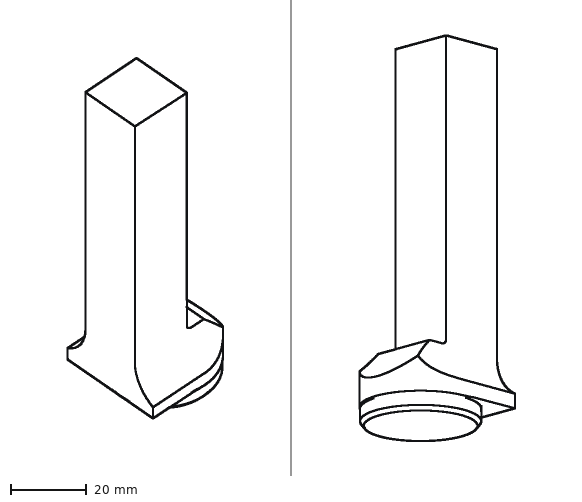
import cadquery as cq
import math

total_height = 104.97
head_width = 32.3
head_radius = head_width / 2
total_depth = 35.2
round_center_y = total_depth - head_radius

foot_diameter = 32.0
foot_height = 5.3
foot_chamfer_width = 1.0
foot_chamfer_height = 1.25
foot_fillet_radius = 0.6

head_top = 20.4
flare_bottom = 9.3
nose_chamfer = 10.0

shank_depth = 19.0
shank_front_width = 18.7
side_taper_angle = 0.5
shank_root_radius = 1.5

clearance = 5.0


def make_side_silhouette():
    """Shank and head seen along X, with the sloped nose and filleted shank root."""
    root_y = shank_depth + shank_root_radius
    root_z = head_top + shank_root_radius
    root_offset = shank_root_radius * (1 - math.sqrt(0.5))
    return (
        cq.Workplane("YZ")
        .moveTo(0, foot_height)
        .lineTo(total_depth, foot_height)
        .lineTo(total_depth, head_top - nose_chamfer)
        .lineTo(total_depth - nose_chamfer, head_top)
        .lineTo(root_y, head_top)
        .threePointArc((shank_depth + root_offset, head_top + root_offset), (shank_depth, root_z))
        .lineTo(shank_depth, total_height)
        .lineTo(0, total_height)
        .close()
        .extrude(head_radius, both=True)
    )


def make_plan_outline():
    """Full-height prism with a flat front and a semicircular back."""
    return (
        cq.Workplane("XY")
        .moveTo(-head_radius, 0)
        .lineTo(head_radius, 0)
        .lineTo(head_radius, round_center_y)
        .threePointArc((0, total_depth), (-head_radius, round_center_y))
        .close()
        .extrude(total_height)
    )


def make_flank_cutter():
    """Material beside the shank on +X, ending below in the concave flare of the head."""
    shank_half_width = shank_front_width / 2
    flare_width = head_radius - shank_half_width
    flare_drop = head_top - flare_bottom
    flare_radius = (flare_width**2 + flare_drop**2) / (2 * flare_width)
    sweep = math.asin(flare_drop / flare_radius)
    flare_middle = (
        shank_half_width + flare_radius * (1 - math.cos(sweep / 2)),
        head_top - flare_radius * math.sin(sweep / 2),
    )
    outer_x = head_radius + clearance
    outer_z = total_height + clearance
    cutter = (
        cq.Workplane("XZ", origin=(0, -clearance, 0))
        .moveTo(shank_half_width, outer_z)
        .lineTo(shank_half_width, head_top)
        .threePointArc(flare_middle, (head_radius, flare_bottom))
        .lineTo(outer_x, flare_bottom)
        .lineTo(outer_x, outer_z)
        .close()
        .extrude(-(total_depth + 2 * clearance))
    )
    return cutter.rotate((shank_half_width, 0, 0), (shank_half_width, 0, 1), -side_taper_angle)


def make_foot():
    """Disc under the head with a chamfered bottom rim."""
    return (
        cq.Workplane("XY")
        .center(0, round_center_y)
        .circle(foot_diameter / 2)
        .extrude(foot_height)
        .faces("<Z")
        .chamfer(foot_chamfer_height, foot_chamfer_width)
    )


def make_foot_fillet():
    """Concave ring joining the foot to the underside of the head, kept within the head outline."""
    foot_radius = foot_diameter / 2
    outer_radius = foot_radius + foot_fillet_radius
    fillet_bottom = foot_height - foot_fillet_radius
    arc_offset = foot_fillet_radius * (1 - math.sqrt(0.5))
    ring = (
        cq.Workplane("XZ")
        .moveTo(0, fillet_bottom)
        .lineTo(foot_radius, fillet_bottom)
        .threePointArc((foot_radius + arc_offset, foot_height - arc_offset), (outer_radius, foot_height))
        .lineTo(0, foot_height)
        .close()
        .revolve(360, (0, 0, 0), (0, 1, 0))
        .translate((0, round_center_y, 0))
    )
    return ring.intersect(make_plan_outline())


flank_cutter = make_flank_cutter()
body = make_side_silhouette().intersect(make_plan_outline())
body = body.cut(flank_cutter).cut(flank_cutter.mirror("YZ"))
result = body.union(make_foot()).union(make_foot_fillet())